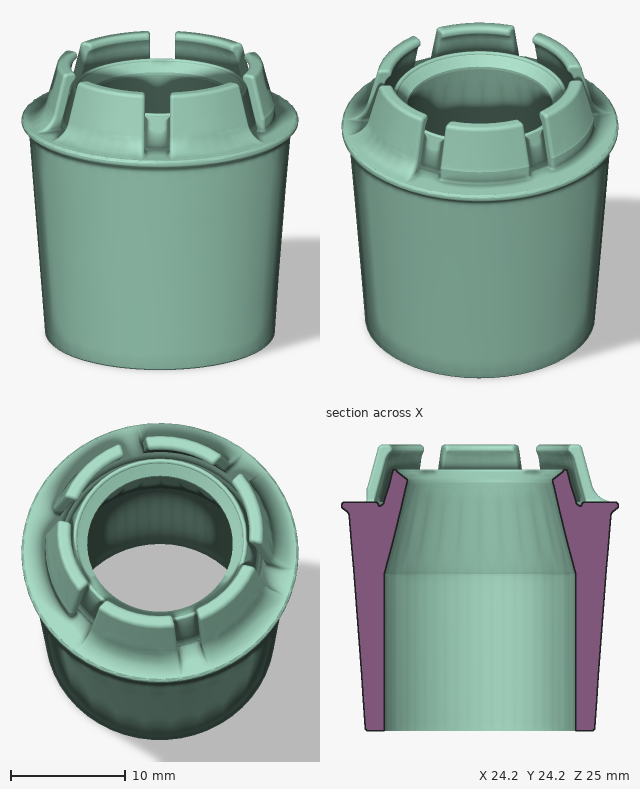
import cadquery as cq
import math

plug_height = 20.0
plug_bottom_radius = 10.05
plug_top_radius = 11.46
plug_top_z = 18.75
bottom_chamfer = 0.15

bore_radius = 8.35
bore_cone_start_z = 13.7
throat_radius = 6.36
throat_height = 0.25

flange_radius = 12.1
flange_rim_height = 0.5
flange_edge_round = 0.22
neck_flare = 0.22
neck_height = 0.42
neck_mid_flare = 0.066
neck_mid_height = 0.252

wall_lean = math.radians(15)

collar_top_z = 22.85
collar_outer_radius = 7.66
collar_mouth_radius = 7.25
collar_rim_round = 0.2

groove_start_height = 0.1
groove_round = 0.42
groove_half_sweep = math.radians(37)
groove_shoulder_radius = 8.85
groove_shoulder_round = 0.35
shoulder_end_radius = groove_shoulder_radius + groove_shoulder_round

finger_count = 6
finger_pitch = 360 / finger_count
finger_top_z = 25.0
finger_outer_foot_radius = 10.29
finger_wall_thickness = 0.93
finger_inner_foot_radius = finger_outer_foot_radius - finger_wall_thickness / math.cos(wall_lean)
finger_tip_inner_radius = 7.8
lip_height = 0.55
lip_run_out = 0.9
lip_bulge = 0.05
flare_radius = 2.0
slot_width = 2.2
finger_edge_round = 0.27
finger_inner_edge_round = 0.17
finger_tip_round = 0.38
foot_round = 0.25

trim_radius = 10.0
trimmed_finger_angles = (60, 120)

embed = 0.3
seat_radius = 11.9
tolerance = 0.001


def lean_radius(foot_radius, z):
    """Radius at height z of a leaning wall that has foot_radius at the flange top."""
    return foot_radius - (z - plug_height) * math.tan(wall_lean)


def revolve_about_z(profile):
    return profile.close().revolve(360, (0, 0, 0), (0, 1, 0))


def make_body():
    """Plug, flange, groove and collar with the bore through them."""
    neck_mid = (plug_top_radius + neck_mid_flare, plug_top_z + neck_mid_height)
    neck_end = (plug_top_radius + neck_flare, plug_top_z + neck_height)

    shoulder_bottom_z = plug_height - groove_shoulder_round
    shoulder_mid = (
        shoulder_end_radius - groove_shoulder_round * math.cos(math.pi / 4),
        shoulder_bottom_z + groove_shoulder_round * math.sin(math.pi / 4),
    )
    groove_mid = (
        groove_shoulder_radius - groove_round * math.sin(groove_half_sweep),
        shoulder_bottom_z + groove_round * (1 - math.cos(groove_half_sweep)),
    )
    groove_start_z = plug_height + groove_start_height
    collar_foot_radius = collar_outer_radius + (collar_top_z - plug_height) * math.tan(wall_lean)
    groove_start = (lean_radius(collar_foot_radius, groove_start_z), groove_start_z)

    rim_z = collar_top_z - collar_rim_round
    rim_mid = ((collar_outer_radius + collar_mouth_radius) / 2, collar_top_z)
    throat_top_z = collar_top_z - (collar_mouth_radius - throat_radius)

    body = revolve_about_z(
        cq.Workplane("XZ")
        .moveTo(bore_radius, 0)
        .lineTo(plug_bottom_radius - bottom_chamfer, 0)
        .lineTo(plug_bottom_radius, bottom_chamfer)
        .lineTo(plug_top_radius, plug_top_z)
        .threePointArc(neck_mid, neck_end)
        .lineTo(flange_radius, plug_height - flange_rim_height)
        .lineTo(flange_radius, plug_height)
        .lineTo(shoulder_end_radius, plug_height)
        .threePointArc(shoulder_mid, (groove_shoulder_radius, shoulder_bottom_z))
        .threePointArc(groove_mid, groove_start)
        .lineTo(collar_outer_radius, rim_z)
        .threePointArc(rim_mid, (collar_mouth_radius, rim_z))
        .lineTo(throat_radius, throat_top_z)
        .lineTo(throat_radius, throat_top_z - throat_height)
        .lineTo(bore_radius, bore_cone_start_z)
    )
    return body.edges(cq.selectors.RadiusNthSelector(-1)).fillet(flange_edge_round)


def make_finger_ring():
    """Full ring of finger wall: flared foot outside, rounded lip inside the tip."""
    flare_top_z = plug_height + flare_radius * (1 - math.sin(wall_lean))
    flare_top_radius = lean_radius(finger_outer_foot_radius, flare_top_z)
    flare_end_radius = flare_top_radius + flare_radius * math.cos(wall_lean)
    flare_half_sweep = (math.pi / 2 - wall_lean) / 2
    flare_mid = (
        flare_end_radius - flare_radius * math.sin(flare_half_sweep),
        plug_height + flare_radius * (1 - math.cos(flare_half_sweep)),
    )
    lip_z = finger_top_z - lip_height
    lip_end_z = lip_z - lip_run_out
    lip_mid_z = (lip_z + lip_end_z) / 2
    lip_mid = (lean_radius(finger_inner_foot_radius, lip_mid_z) - lip_bulge, lip_mid_z)
    lip_end = (lean_radius(finger_inner_foot_radius, lip_end_z), lip_end_z)

    return revolve_about_z(
        cq.Workplane("XZ")
        .moveTo(finger_inner_foot_radius, plug_height - embed)
        .lineTo(flare_end_radius, plug_height - embed)
        .lineTo(flare_end_radius, plug_height)
        .threePointArc(flare_mid, (flare_top_radius, flare_top_z))
        .lineTo(lean_radius(finger_outer_foot_radius, finger_top_z), finger_top_z)
        .lineTo(finger_tip_inner_radius, finger_top_z)
        .lineTo(finger_tip_inner_radius, lip_z)
        .threePointArc(lip_mid, lip_end)
        .lineTo(finger_inner_foot_radius, plug_height)
    )


def make_sector(apex_x):
    """Wedge one finger pitch wide, opening along +X from apex_x."""
    reach = 2 * flange_radius
    half_width = reach * math.tan(math.radians(finger_pitch / 2))
    return (
        cq.Workplane("XY")
        .workplane(offset=plug_height - embed)
        .moveTo(apex_x, 0)
        .lineTo(apex_x + reach, half_width)
        .lineTo(apex_x + reach, -half_width)
        .close()
        .extrude(finger_top_z)
    )


def make_disc(radius, height):
    """Disc whose underside is level with the sunk underside of the fingers."""
    return cq.Workplane("XY").workplane(offset=plug_height - embed).circle(radius).extrude(height)


def is_tip_arc(edge):
    """True for the two arcs along the tip of a finger."""
    return edge.BoundingBox().zmin > finger_top_z - tolerance and edge.geomType() == "CIRCLE"


def is_outer_corner(edge):
    """True for the upright outer edges at the two ends of a finger centred on +X."""
    box = edge.BoundingBox()
    middle = edge.Center()
    upright = box.zlen > finger_edge_round
    above_flange = box.zmax > plug_height + finger_edge_round
    at_outside = math.hypot(middle.x, middle.y) > shoulder_end_radius
    return upright and above_flange and at_outside


def is_inner_corner(edge):
    """True for the leaning inner edges at the two ends of a finger centred on +X."""
    box = edge.BoundingBox()
    middle = edge.Center()
    tall = box.zlen > lip_height + lip_run_out
    at_inside = math.hypot(middle.x, middle.y) < shoulder_end_radius
    return tall and at_inside


def is_foot_end(edge):
    """True for the straight edges where the two ends of a finger meet the flange top."""
    box = edge.BoundingBox()
    on_flange_top = abs(box.zmin - plug_height) < tolerance and box.zlen < tolerance
    return on_flange_top and edge.geomType() == "LINE"


def round_edges(part, is_wanted, radius):
    wanted = [edge for edge in part.edges().vals() if is_wanted(edge)]
    return part.newObject(wanted).fillet(radius)


def make_finger(trimmed):
    """One finger centred on +X, with its ends parallel to the slots beside it."""
    slot_apex = slot_width / 2 / math.sin(math.radians(finger_pitch / 2))
    finger = make_finger_ring().intersect(make_sector(slot_apex))
    if trimmed:
        finger = finger.intersect(make_disc(trim_radius, finger_top_z))
    finger = round_edges(finger, is_tip_arc, finger_tip_round)
    finger = round_edges(finger, is_outer_corner, finger_edge_round)
    finger = round_edges(finger, is_inner_corner, finger_inner_edge_round)

    seat = make_disc(seat_radius, embed).cut(make_disc(shoulder_end_radius, embed))
    finger = round_edges(finger.union(seat), is_foot_end, foot_round)
    return finger.intersect(make_sector(0))


flared_finger = make_finger(trimmed=False)
trimmed_finger = make_finger(trimmed=True)

result = make_body()
for index in range(finger_count):
    angle = index * finger_pitch
    finger = trimmed_finger if angle in trimmed_finger_angles else flared_finger
    result = result.union(finger.rotate((0, 0, 0), (0, 0, 1), angle))